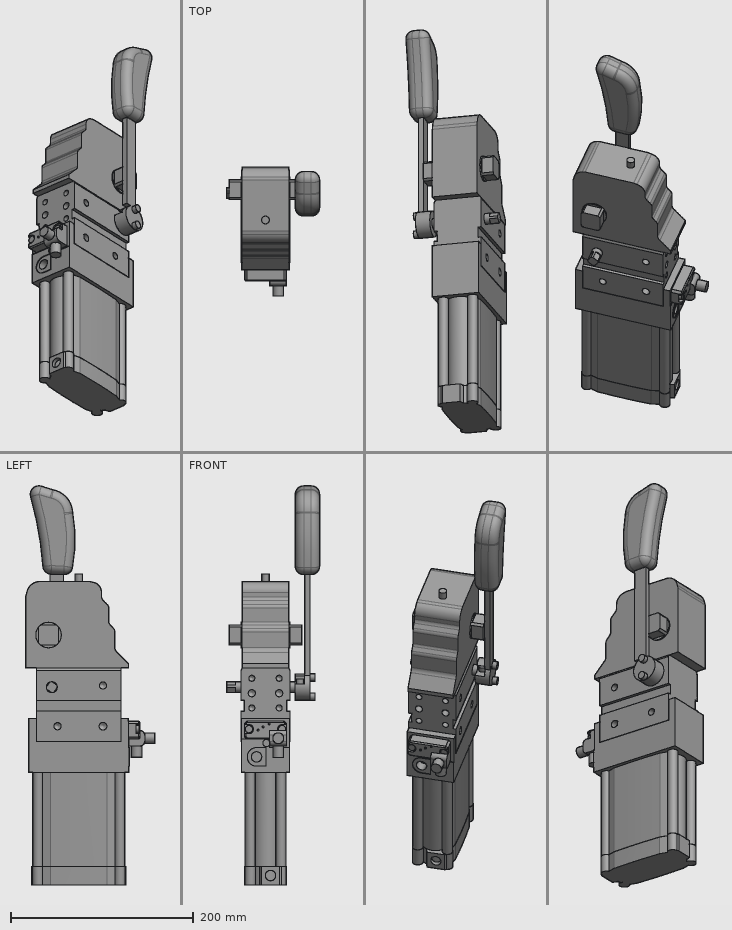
import cadquery as cq
import math


def block(x_range, y_range, z_range):
    """Box between the given limits along X, Y and Z."""
    size = [high - low for low, high in (x_range, y_range, z_range)]
    corner = (x_range[0], y_range[0], z_range[0])
    return cq.Workplane("XY").box(*size, centered=False).translate(corner)


def rod(diameter, start, direction, length):
    """Cylinder from a start point along a direction."""
    return cq.Workplane(
        cq.Solid.makeCylinder(diameter / 2, length, cq.Vector(*start), cq.Vector(*direction))
    )


def drilled_hole(diameter, start, direction, depth):
    """Blind hole shape with a conical drill tip at its end."""
    tip_length = diameter / 2 / math.tan(math.radians(DRILL_TIP_ANGLE / 2))
    axis = cq.Vector(*direction)
    tip_start = cq.Vector(*start) + axis * depth
    tip = cq.Solid.makeCone(diameter / 2, 0, tip_length, tip_start, axis)
    return rod(diameter, start, direction, depth).union(cq.Workplane(tip))


DRILL_TIP_ANGLE = 118
LEFT = (-1, 0, 0)
RIGHT = (1, 0, 0)
FRONT = (0, -1, 0)
BACK = (0, 1, 0)
UP = (0, 0, 1)
DOWN = (0, 0, -1)

BARREL_HALF_WIDTH = 22.5
BARREL_HALF_DEPTH = 50.6
COLUMN_DIAMETER = 11.45
COLUMN_X = BARREL_HALF_WIDTH - COLUMN_DIAMETER / 2
COLUMN_Y = BARREL_HALF_DEPTH - COLUMN_DIAMETER / 2
RAMP_Y = 31
RAMP_X = 21.8
RAMP_END_X = COLUMN_X + 1
END_EDGE_X = 12
BARREL_END_Y = 47.5
BARREL_END_EDGE_Y = 42

CAP_HEIGHT = 20.5
CAP_MARGIN = 0.3
PAD_X = (-4.5, 15.5)
PAD_LEFT_SLOPE = (2.4, 6)
PAD_RIGHT_SLOPE = (2.8, 1.6)
PAD_HALF_DEPTH = 52
PORT_DIAMETER = 11.45
PORT_DEPTH = 12
CAP_PORT_X = sum(PAD_X) / 2
CAP_PORT_Z = 10.5

BLOCK_HALF_WIDTH = 26.5
BLOCK_HALF_DEPTH = 55
BLOCK_Z = (123.5, 182.8)
RECESS_DEPTH = 0.8
RECESS_SPLIT_X = 4.5
RECESS_LEFT_Z = 160.2
RECESS_RIGHT_Z = 151
PORT_BOSS_X = -9.8
PORT_BOSS_Z = 140.6
PORT_BOSS_RADIUS = 10.2
PORT_BOSS_HEIGHT = 0.8
PLUG_X = 1
PLUG_Z = 155.7
PLUG_DIAMETER = 7.9
PLUG_DEPTH = 1

PLATE_HALF_WIDTH = 27
PLATE_HALF_DEPTH = 46.5
PLATE_Z = (157.5, 238.1)
PLATE_TOP_CHAMFER_WIDTH = 1.5
PLATE_TOP_CHAMFER_HEIGHT = 2.6
GROOVE_Z = (190.7, 202.5)
GROOVE_DEPTH = 3.6
FRONT_HOLE_X = 15
FRONT_HOLE_SIZES = {226.8: 6.65, 210.4: 7.9, 194.2: 6.65}
SIDE_HOLES = [(-26.5, 218.9, 7.9), (23.3, 174.2, 7.9), (-26.5, 174.2, 8.5)]
HOLE_DEPTH = 10

SHAFT_Y = 29.6
SHAFT_Z = 217
SHAFT_DIAMETER = 12
SHAFT_LEFT = -42.5
SQUARE_LENGTH = 9.5
SQUARE_WIDTH = 10
SQUARE_TILT = 35

COVER_HALF_WIDTH = 25.5
COVER_BOTTOM = PLATE_Z[1]
COVER_TOP = 333
COVER_BACK = 58.3
COVER_FRONT = -54.6
TOP_PIN_DIAMETER = 8.5
TOP_PIN_TOP = 341.2
ARM_Y = 33.2
ARM_Z = 274.2
ARM_DIAMETER = 28
ARM_COLLAR_HALF_LENGTH = 27
ARM_HALF_LENGTH = 40
ARM_SQUARE = 22

HUB_X = (32.5, 49)
HUB_DIAMETER = 29
BAR_THICKNESS = 6
BAR_X = (HUB_X[1] - BAR_THICKNESS, HUB_X[1])
BAR_Y = (16.6, 31.6)
BAR_BOTTOM = 230
BAR_TOP = 350
SCREW_DIAMETER = 8.5
SCREW_HEAD_LENGTH = 5.3
SCREW_OFFSET = 10.5
HUB_NOTCH_Z = (220.5, 229.5)
HUB_NOTCH_FRONT_DEPTH = 12
HUB_PIN_DIAMETER = 8
HUB_PIN_TOP = 225.8
GRIP_WIDTH = 27
GRIP_X = sum(BAR_X) / 2
GRIP_BOTTOM_BACK = 341.1
GRIP_BOTTOM_FRONT = 340
GRIP_FILLET = 9.5

SENSOR_HALF_WIDTH = 22.8
SENSOR_FRONT = -67
SENSOR_Z = (160, 179.9)
SENSOR_CORNER_CHAMFER = 2.5
SENSOR_FRONT_CHAMFER = 1.4
SENSOR_SCREW_X = 18.2
SENSOR_SCREW_Z = 171
SENSOR_POCKET_DIAMETER = 10
SENSOR_POCKET_DEPTH = 4.5
SENSOR_SCREW_DIAMETER = 8
SENSOR_SCREW_HEIGHT = 3.5
LAMP_POSITIONS = [(4, 176.8), (-2.6, 173.5), (-8.1, 170)]
LAMP_DIAMETER = 2
LAMP_DEPTH = 1
CONNECTOR_X = (4.6, 22.8)
CONNECTOR_Z = (152.5, 169.5)
CONNECTOR_FRONT = -72.3
CONNECTOR_FILLET = 5
PLUG_TUBE_DIAMETER = 12
PLUG_TUBE_X = 14
PLUG_TUBE_Z = 161
PLUG_TUBE_FRONT = -83.37
CABLE_TUBE_Y = -63.3
CABLE_TUBE_BOTTOM = 140


def barrel_section(margin, height):
    """Bulged barrel with its four corner columns, grown by a margin, standing on Z = 0."""
    ramp_x = RAMP_X + margin
    ramp_end_x = RAMP_END_X + margin
    side_x = BARREL_HALF_WIDTH + margin
    end_y = BARREL_END_Y + margin
    end_edge_y = BARREL_END_EDGE_Y + margin
    barrel = (
        cq.Workplane("XY")
        .moveTo(-ramp_x, -RAMP_Y)
        .threePointArc((-side_x, 0), (-ramp_x, RAMP_Y))
        .lineTo(-ramp_end_x, COLUMN_Y)
        .lineTo(-END_EDGE_X, end_edge_y)
        .threePointArc((0, end_y), (END_EDGE_X, end_edge_y))
        .lineTo(ramp_end_x, COLUMN_Y)
        .lineTo(ramp_x, RAMP_Y)
        .threePointArc((side_x, 0), (ramp_x, -RAMP_Y))
        .lineTo(ramp_end_x, -COLUMN_Y)
        .lineTo(END_EDGE_X, -end_edge_y)
        .threePointArc((0, -end_y), (-END_EDGE_X, -end_edge_y))
        .lineTo(-ramp_end_x, -COLUMN_Y)
        .close()
        .extrude(height)
    )
    for x in (-COLUMN_X, COLUMN_X):
        for y in (-COLUMN_Y, COLUMN_Y):
            barrel = barrel.union(rod(COLUMN_DIAMETER + 2 * margin, (x, y, 0), UP, height))
    return barrel


def make_cylinder():
    """Pneumatic cylinder with its end cap and cap port."""
    cap = barrel_section(CAP_MARGIN, CAP_HEIGHT)
    pad = (
        cq.Workplane("XY")
        .moveTo(PAD_X[0] - PAD_LEFT_SLOPE[0], -PAD_HALF_DEPTH + PAD_LEFT_SLOPE[1])
        .lineTo(PAD_X[0], -PAD_HALF_DEPTH)
        .lineTo(PAD_X[1], -PAD_HALF_DEPTH)
        .lineTo(PAD_X[1] + PAD_RIGHT_SLOPE[0], -PAD_HALF_DEPTH + PAD_RIGHT_SLOPE[1])
        .lineTo(PAD_X[1], 0)
        .lineTo(PAD_X[0], 0)
        .close()
        .extrude(CAP_HEIGHT)
    )
    cap = cap.union(pad).union(pad.mirror("XZ"))
    port_start = (CAP_PORT_X, -PAD_HALF_DEPTH, CAP_PORT_Z)
    cap = cap.cut(rod(PORT_DIAMETER, port_start, BACK, PORT_DEPTH))
    return barrel_section(0, BLOCK_Z[0]).union(cap)


def make_block():
    """Lower block with the sensor recess, the port boss and the plug seat."""
    base = block(
        (-BLOCK_HALF_WIDTH, BLOCK_HALF_WIDTH), (-BLOCK_HALF_DEPTH, BLOCK_HALF_DEPTH), BLOCK_Z
    )
    recess_y = (-BLOCK_HALF_DEPTH, -BLOCK_HALF_DEPTH + RECESS_DEPTH)
    base = base.cut(
        block((-BLOCK_HALF_WIDTH, RECESS_SPLIT_X), recess_y, (RECESS_LEFT_Z, BLOCK_Z[1]))
    )
    base = base.cut(
        block((RECESS_SPLIT_X, BLOCK_HALF_WIDTH), recess_y, (RECESS_RIGHT_Z, BLOCK_Z[1]))
    )
    boss_start = (PORT_BOSS_X, -BLOCK_HALF_DEPTH, PORT_BOSS_Z)
    boss = rod(2 * PORT_BOSS_RADIUS, boss_start, FRONT, PORT_BOSS_HEIGHT)
    boss = boss.union(
        block(
            (PORT_BOSS_X, PORT_BOSS_X + PORT_BOSS_RADIUS),
            (-BLOCK_HALF_DEPTH - PORT_BOSS_HEIGHT, -BLOCK_HALF_DEPTH),
            (PORT_BOSS_Z - PORT_BOSS_RADIUS, PORT_BOSS_Z + PORT_BOSS_RADIUS),
        )
    )
    port_start = (PORT_BOSS_X, -BLOCK_HALF_DEPTH - PORT_BOSS_HEIGHT, PORT_BOSS_Z)
    base = base.union(boss).cut(rod(PORT_DIAMETER, port_start, BACK, PORT_DEPTH))
    plug_start = (PLUG_X, -BLOCK_HALF_DEPTH, PLUG_Z)
    return base.cut(rod(PLUG_DIAMETER, plug_start, BACK, PLUG_DEPTH))


def make_plates():
    """Clamp plates with chamfered top, side grooves and drilled holes."""
    chamfer_x = PLATE_HALF_WIDTH - PLATE_TOP_CHAMFER_WIDTH
    chamfer_z = PLATE_Z[1] - PLATE_TOP_CHAMFER_HEIGHT
    plates = (
        cq.Workplane("XZ", origin=(0, PLATE_HALF_DEPTH, 0))
        .moveTo(-PLATE_HALF_WIDTH, PLATE_Z[0])
        .lineTo(PLATE_HALF_WIDTH, PLATE_Z[0])
        .lineTo(PLATE_HALF_WIDTH, chamfer_z)
        .lineTo(chamfer_x, PLATE_Z[1])
        .lineTo(-chamfer_x, PLATE_Z[1])
        .lineTo(-PLATE_HALF_WIDTH, chamfer_z)
        .close()
        .extrude(2 * PLATE_HALF_DEPTH)
    )
    groove_floor = PLATE_HALF_WIDTH - GROOVE_DEPTH
    for x_range in ((-PLATE_HALF_WIDTH, -groove_floor), (groove_floor, PLATE_HALF_WIDTH)):
        plates = plates.cut(block(x_range, (-PLATE_HALF_DEPTH, PLATE_HALF_DEPTH), GROOVE_Z))
    for z, diameter in FRONT_HOLE_SIZES.items():
        for x in (-FRONT_HOLE_X, FRONT_HOLE_X):
            start = (x, -PLATE_HALF_DEPTH, z)
            plates = plates.cut(drilled_hole(diameter, start, BACK, HOLE_DEPTH))
    return plates


def cut_side_holes(body):
    """Drilled holes in both sides of the clamp."""
    for y, z, diameter in SIDE_HOLES:
        for side, inward in ((-1, RIGHT), (1, LEFT)):
            start = (side * PLATE_HALF_WIDTH, y, z)
            body = body.cut(drilled_hole(diameter, start, inward, HOLE_DEPTH))
    return body


def make_shaft():
    """Lever shaft with a tilted square on its free end."""
    shaft = rod(SHAFT_DIAMETER, (SHAFT_LEFT, SHAFT_Y, SHAFT_Z), RIGHT, HUB_X[0] - SHAFT_LEFT)
    end_sleeve = rod(2 * SHAFT_DIAMETER, (SHAFT_LEFT, SHAFT_Y, SHAFT_Z), RIGHT, SQUARE_LENGTH)
    square = (
        cq.Workplane("YZ", origin=(SHAFT_LEFT, SHAFT_Y, SHAFT_Z))
        .transformed(rotate=(0, 0, SQUARE_TILT))
        .rect(SQUARE_WIDTH, SQUARE_WIDTH)
        .extrude(SQUARE_LENGTH)
    )
    return shaft.cut(end_sleeve.cut(square))


def make_clamp():
    """Clamp body: cylinder, lower block, plates and lever shaft."""
    body = make_cylinder().union(make_block()).union(make_plates())
    return cut_side_holes(body).union(make_shaft())


def make_cover():
    """Stepped cover with the top pin and the two square arm ends."""
    shell = (
        cq.Workplane("YZ", origin=(-COVER_HALF_WIDTH, 0, 0))
        .moveTo(COVER_BACK, COVER_BOTTOM)
        .lineTo(COVER_BACK, 316.5)
        .lineTo(57.2, 320.5)
        .threePointArc((53.8, 327.8), (47.4, 332.2))
        .lineTo(44.1, COVER_TOP)
        .lineTo(-11.8, COVER_TOP)
        .lineTo(-15.8, 332.1)
        .threePointArc((-22.3, 328.2), (-25, 321))
        .lineTo(-25, 315.7)
        .threePointArc((-25.7, 313.6), (-27, 311.8))
        .lineTo(-31, 307.8)
        .threePointArc((-32.4, 306), (-33, 303.9))
        .lineTo(-33, 288.2)
        .threePointArc((-33.6, 286.6), (-34.5, 285.4))
        .lineTo(-38, 281.6)
        .threePointArc((-39.1, 279.8), (-39.5, 277.6))
        .lineTo(-39.5, 260.4)
        .threePointArc((-40.3, 257.5), (-42.2, 255.2))
        .lineTo(COVER_FRONT, 242.7)
        .lineTo(COVER_FRONT, COVER_BOTTOM)
        .close()
        .extrude(2 * COVER_HALF_WIDTH)
    )
    pin = rod(TOP_PIN_DIAMETER, (0, 0, COVER_TOP), UP, TOP_PIN_TOP - COVER_TOP)
    collar = rod(
        ARM_DIAMETER, (-ARM_COLLAR_HALF_LENGTH, ARM_Y, ARM_Z), RIGHT, 2 * ARM_COLLAR_HALF_LENGTH
    )
    arm = rod(ARM_DIAMETER, (-ARM_HALF_LENGTH, ARM_Y, ARM_Z), RIGHT, 2 * ARM_HALF_LENGTH)
    square = (
        cq.Workplane("YZ", origin=(-ARM_HALF_LENGTH, ARM_Y, ARM_Z))
        .rect(ARM_SQUARE, ARM_SQUARE)
        .extrude(2 * ARM_HALF_LENGTH)
    )
    return shell.union(pin).union(collar).union(arm.intersect(square))


def make_grip():
    """Curved hand grip, rounded all over."""
    return (
        cq.Workplane("YZ", origin=(GRIP_X - GRIP_WIDTH / 2, 0, 0))
        .moveTo(8.6, GRIP_BOTTOM_FRONT)
        .threePointArc((4, 383), (6.6, 408.5))
        .threePointArc((13.9, 425.6), (28.3, 433.5))
        .lineTo(58.2, 442.8)
        .threePointArc((45.2, 393), (39, GRIP_BOTTOM_BACK))
        .close()
        .extrude(GRIP_WIDTH)
        .edges()
        .fillet(GRIP_FILLET)
    )


def make_lever():
    """Hand lever: clamping hub with its screws, flat bar and grip."""
    hub = rod(HUB_DIAMETER, (HUB_X[0], SHAFT_Y, SHAFT_Z), RIGHT, HUB_X[1] - HUB_X[0])
    notch_front = SHAFT_Y - HUB_DIAMETER / 2
    hub = hub.cut(
        block(
            (HUB_X[0], BAR_X[0]), (notch_front, notch_front + HUB_NOTCH_FRONT_DEPTH), HUB_NOTCH_Z
        )
    )
    pin_start = ((HUB_X[0] + BAR_X[0]) / 2, notch_front + HUB_NOTCH_FRONT_DEPTH, HUB_NOTCH_Z[0])
    hub = hub.union(rod(HUB_PIN_DIAMETER, pin_start, UP, HUB_PIN_TOP - HUB_NOTCH_Z[0]))
    for offset in (-SCREW_OFFSET, SCREW_OFFSET):
        start = (HUB_X[1], SHAFT_Y, SHAFT_Z + offset)
        hub = hub.union(rod(SCREW_DIAMETER, start, RIGHT, SCREW_HEAD_LENGTH))
    bar = block(BAR_X, BAR_Y, (BAR_BOTTOM, BAR_TOP))
    return hub.union(bar).union(make_grip())


def make_sensor():
    """Sensor with two recessed screws, lamp holes and an elbow connector."""
    back = -BLOCK_HALF_DEPTH + RECESS_DEPTH
    sensor = block((-SENSOR_HALF_WIDTH, SENSOR_HALF_WIDTH), (SENSOR_FRONT, back), SENSOR_Z)
    sensor = sensor.edges("|Y").chamfer(SENSOR_CORNER_CHAMFER)
    sensor = sensor.faces("<Y").chamfer(SENSOR_FRONT_CHAMFER)
    sensor = sensor.cut(
        block(
            (-BLOCK_HALF_WIDTH, RECESS_SPLIT_X),
            (-BLOCK_HALF_DEPTH, back),
            (SENSOR_Z[0], RECESS_LEFT_Z),
        )
    )
    pocket_floor = SENSOR_FRONT + SENSOR_POCKET_DEPTH
    pocket_radius = SENSOR_POCKET_DIAMETER / 2
    slot_z = (SENSOR_SCREW_Z - pocket_radius, SENSOR_SCREW_Z + pocket_radius)
    for side in (-1, 1):
        x = side * SENSOR_SCREW_X
        side_x = side * SENSOR_HALF_WIDTH
        start = (x, pocket_floor, SENSOR_SCREW_Z)
        sensor = sensor.cut(rod(SENSOR_POCKET_DIAMETER, start, FRONT, SENSOR_POCKET_DEPTH))
        slot = block(sorted((x, side_x)), (SENSOR_FRONT, pocket_floor), slot_z)
        sensor = sensor.cut(slot)
        sensor = sensor.union(rod(SENSOR_SCREW_DIAMETER, start, FRONT, SENSOR_SCREW_HEIGHT))
    for x, z in LAMP_POSITIONS:
        sensor = sensor.cut(rod(LAMP_DIAMETER, (x, SENSOR_FRONT, z), BACK, LAMP_DEPTH))
    connector = block(CONNECTOR_X, (CONNECTOR_FRONT, back), CONNECTOR_Z)
    connector = connector.faces("<Y").edges("|X").fillet(CONNECTOR_FILLET)
    tube_start = (PLUG_TUBE_X, CONNECTOR_FRONT, PLUG_TUBE_Z)
    plug_tube = rod(PLUG_TUBE_DIAMETER, tube_start, FRONT, CONNECTOR_FRONT - PLUG_TUBE_FRONT)
    cable_start = (PLUG_TUBE_X, CABLE_TUBE_Y, CONNECTOR_Z[0])
    cable_tube = rod(PLUG_TUBE_DIAMETER, cable_start, DOWN, CONNECTOR_Z[0] - CABLE_TUBE_BOTTOM)
    return sensor.union(connector).union(plug_tube).union(cable_tube)


clamp = make_clamp()
cover = make_cover()
lever = make_lever()
sensor = make_sensor()

result = cq.Compound.makeCompound(
    [*clamp.solids().vals(), *cover.solids().vals(), *lever.solids().vals(), *sensor.solids().vals()]
)